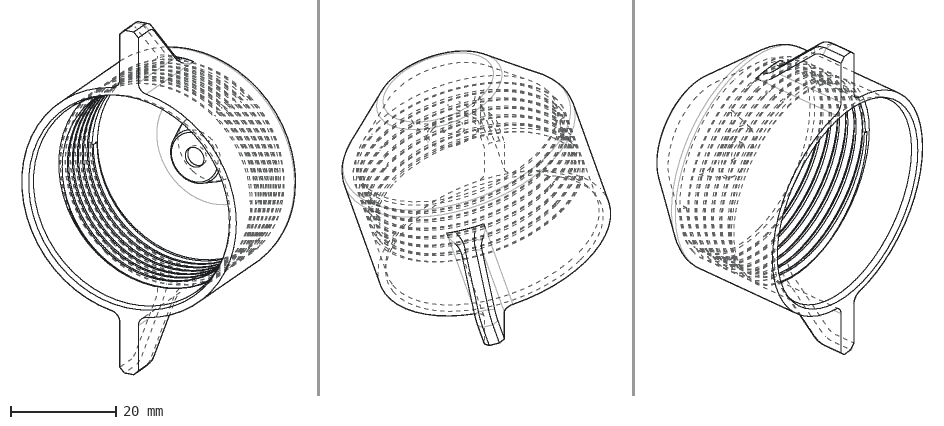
import cadquery as cq
import math

length = 36.94
body_radius = 46.2 / 2
shoulder_y = 24.2
crown_radius = 11.85
edge_blend_radius = 2.0

bore_radius = 42.4 / 2
bore_depth = 11.4
mouth_bevel_width = 0.4
mouth_bevel_depth = 1.2
inner_cone_y = 24.8

thread_minor_radius = 40.02 / 2
thread_root_radius = 42.25 / 2
thread_pitch = 2.0
thread_turns = 6.5
thread_half_angle = math.radians(30)
thread_overlap = 0.3

spigot_base_radius = 6.8
spigot_neck_radius = 5.4
spigot_bevel = 0.4
spigot_tip_y = 26.5
spigot_fillet = 3.0
spigot_hole_diameter = 4.0
spigot_hole_depth = 1.0

wing_reach = 70.0 / 2
wing_thickness = 4.0
wing_flat_length = 6.0
wing_tip_round = 4.0
wing_toe_round = 3.0
wing_root_fillet = 2.0
wing_bevel = 1.0
wing_foot_z = 22.0

cone_slope = (body_radius - crown_radius) / (length - shoulder_y)
cone_angle = math.atan(cone_slope)

slope_angle = math.radians(45)
slope_foot_y = wing_flat_length + wing_reach - body_radius
toe_tangent = wing_toe_round * math.tan(slope_angle / 2)
wing_length = slope_foot_y + toe_tangent


def revolve_about_y(outline):
    return outline.revolve(360, (0, 0, 0), (0, 1, 0))


def outer_shell():
    """Solid cylinder with a conical crown and both of its rims blended."""
    outline = (
        cq.Workplane("XY")
        .lineTo(body_radius, 0)
        .lineTo(body_radius, shoulder_y)
        .lineTo(crown_radius, length)
        .lineTo(0, length)
        .close()
    )
    rims = "%CIRCLE and (not <Y)"
    return revolve_about_y(outline).edges(rims).fillet(edge_blend_radius)


def cavity():
    """Bevelled bore, thread core and cone, turning through a fillet into the spigot."""
    fillet_center_radius = spigot_base_radius + spigot_fillet
    cone_end_radius = fillet_center_radius + spigot_fillet * math.cos(cone_angle)
    cone_end_y = inner_cone_y + (thread_minor_radius - cone_end_radius) / cone_slope
    fillet_center_y = cone_end_y - spigot_fillet * math.sin(cone_angle)
    mid_angle = (cone_angle + math.pi) / 2
    fillet_middle = (
        fillet_center_radius + spigot_fillet * math.cos(mid_angle),
        fillet_center_y + spigot_fillet * math.sin(mid_angle),
    )
    outline = (
        cq.Workplane("XY")
        .lineTo(bore_radius + mouth_bevel_width, 0)
        .lineTo(bore_radius, mouth_bevel_depth)
        .lineTo(bore_radius, bore_depth)
        .lineTo(thread_minor_radius, bore_depth)
        .lineTo(thread_minor_radius, inner_cone_y)
        .lineTo(cone_end_radius, cone_end_y)
        .threePointArc(fillet_middle, (spigot_base_radius, fillet_center_y))
        .lineTo(spigot_neck_radius, spigot_tip_y + spigot_bevel)
        .lineTo(spigot_neck_radius - spigot_bevel, spigot_tip_y)
        .lineTo(0, spigot_tip_y)
        .close()
    )
    return revolve_about_y(outline)


def spigot_hole():
    """Shallow blind hole in the spigot tip."""
    return (
        cq.Workplane("XZ", origin=(0, spigot_tip_y, 0))
        .circle(spigot_hole_diameter / 2)
        .extrude(-spigot_hole_depth)
    )


def thread_groove():
    """Helical groove that starts a quarter pitch before the bore step, on the +X side."""
    flank_slope = math.tan(thread_half_angle)
    opening_half_width = thread_pitch * 3 / 8
    root_half_width = opening_half_width - (thread_root_radius - thread_minor_radius) * flank_slope
    inner_half_width = opening_half_width + thread_overlap * flank_slope
    inner_radius = thread_minor_radius - thread_overlap
    section = [
        (inner_radius, -inner_half_width),
        (thread_root_radius, -root_half_width),
        (thread_root_radius, root_half_width),
        (inner_radius, inner_half_width),
    ]
    helix = cq.Wire.makeHelix(thread_pitch, thread_pitch * thread_turns, inner_radius)
    groove = cq.Workplane("XZ").polyline(section).close().sweep(cq.Workplane(helix), isFrenet=True)
    start_y = bore_depth - thread_pitch / 4
    return groove.rotate((0, 0, 0), (1, 0, 0), -90).translate((0, start_y, 0))


def wing_section():
    """Wing seen end on: parallel flanks that flare into the shell through root fillets."""
    half = wing_thickness / 2
    center_x = half + wing_root_fillet
    center_distance = body_radius + wing_root_fillet
    center_z = math.sqrt(center_distance**2 - center_x**2)
    foot_x = center_x * body_radius / center_distance
    tangent_z = center_z * body_radius / center_distance
    mid_angle = math.atan2(center_z, center_x) / 2
    middle_x = center_x - wing_root_fillet * math.cos(mid_angle)
    middle_z = center_z - wing_root_fillet * math.sin(mid_angle)
    return (
        cq.Workplane("XZ")
        .moveTo(-foot_x, wing_foot_z)
        .lineTo(-foot_x, tangent_z)
        .threePointArc((-middle_x, middle_z), (-half, center_z))
        .lineTo(-half, wing_reach)
        .lineTo(half, wing_reach)
        .lineTo(half, center_z)
        .threePointArc((middle_x, middle_z), (foot_x, tangent_z))
        .lineTo(foot_x, wing_foot_z)
        .close()
        .extrude(-wing_length)
    )


def wing_profile():
    """Wing seen from the side: flat tip, 45 degree slope and a concave toe."""
    toe_start = (
        slope_foot_y - toe_tangent * math.cos(slope_angle),
        body_radius + toe_tangent * math.sin(slope_angle),
    )
    toe_middle = (
        wing_length - wing_toe_round * math.sin(slope_angle / 2),
        body_radius + wing_toe_round * (1 - math.cos(slope_angle / 2)),
    )
    tip_corner = cq.selectors.NearestToPointSelector((0, wing_flat_length, wing_reach))
    return (
        cq.Workplane("YZ")
        .moveTo(0, wing_foot_z)
        .lineTo(0, wing_reach)
        .lineTo(wing_flat_length, wing_reach)
        .lineTo(*toe_start)
        .threePointArc(toe_middle, (wing_length, body_radius))
        .lineTo(wing_length, wing_foot_z)
        .close()
        .extrude(body_radius, both=True)
        .edges(tip_corner)
        .fillet(wing_tip_round)
    )


def wing():
    """The +Z wing, bevelled along both sides of its tip, slope and toe."""
    end_margin = 0.1
    between_ends = cq.selectors.BoxSelector(
        (-body_radius, end_margin, body_radius),
        (body_radius, wing_length - end_margin, wing_reach + end_margin),
    )
    rim = "(not |X) and ((not |Y) or >Z)"
    blank = wing_section().intersect(wing_profile())
    return blank.edges(between_ends).edges(rim).chamfer(wing_bevel)


result = outer_shell()
for turn in (0, 180):
    result = result.union(wing().rotate((0, 0, 0), (0, 1, 0), turn))
result = result.cut(cavity()).cut(spigot_hole()).cut(thread_groove())